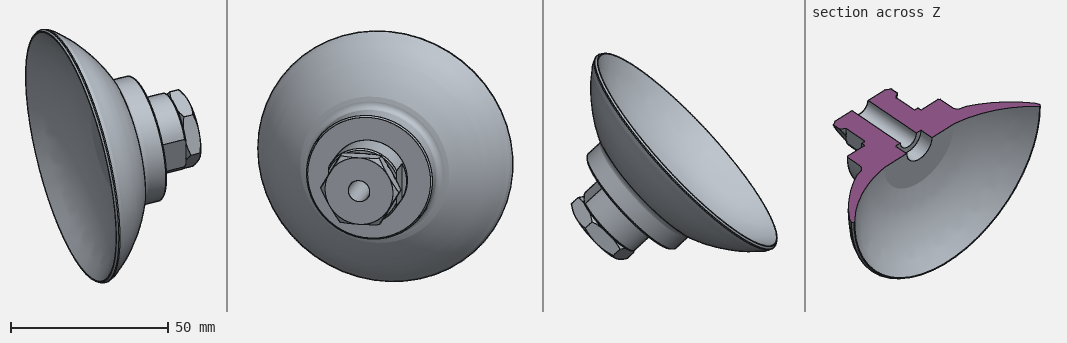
import cadquery as cq
import math


rim_radius = 41.5
total_length = 40.0

rim_lip_radius = 41.1
rim_edge_height = 0.7
rim_top = 1.1
rim_bevel_radius = 40.8
rim_bevel_start = 2.5
rim_bevel_end_radius = 39.35
rim_bevel_end = 4.2
lower_dome_middle_radius = 37.0
lower_dome_middle_height = 7.0
dome_joint_radius = 34.0
dome_joint_height = 9.7
upper_dome_middle_radius = 29.4
upper_dome_middle_height = 13.3
dome_top_radius = 24.2
dome_top_height = 16.3
shoulder_radius = 22.75
shoulder_height = 16.7

mouth_radius = 40.75
mouth_middle_radius = 29.5
mouth_middle_height = 8.3
floor_radius = 15.5
floor_height = 12.7

collar_radius = 41.0 / 2
collar_top = 25.0
collar_edge = 0.5
neck_height = 2.0
neck_radius = 2.4

fitting_radius = 25.0 / 2
fitting_edge = 0.5
flat_start = 26.4
across_flats = 22.1

hex_height = 5.1
hex_start = total_length - hex_height
hex_chamfer_radius = across_flats / 2
hex_chamfer_angle = 30.0

bore_diameter = 7.0
front_bore_diameter = 11.0
front_bore_end = 17.8


def cylinder(diameter, start, end):
    """Cylinder on the Y axis between two Y positions."""
    plane = cq.Workplane("XZ", origin=(0, end, 0))
    return plane.circle(diameter / 2).extrude(end - start)


def make_cup():
    """Hollow cup and its collar, revolved about Y."""
    profile = (
        cq.Workplane("XY")
        .moveTo(mouth_radius, 0)
        .lineTo(rim_lip_radius, 0)
        .lineTo(rim_radius, rim_edge_height)
        .lineTo(rim_radius, rim_top)
        .lineTo(rim_bevel_radius, rim_bevel_start)
        .lineTo(rim_bevel_end_radius, rim_bevel_end)
        .threePointArc(
            (lower_dome_middle_radius, lower_dome_middle_height),
            (dome_joint_radius, dome_joint_height),
        )
        .threePointArc(
            (upper_dome_middle_radius, upper_dome_middle_height),
            (dome_top_radius, dome_top_height),
        )
        .lineTo(shoulder_radius, shoulder_height)
        .radiusArc((collar_radius, shoulder_height + neck_height), neck_radius)
        .lineTo(collar_radius, collar_top - collar_edge)
        .lineTo(collar_radius - collar_edge, collar_top)
        .lineTo(0, collar_top)
        .lineTo(0, floor_height)
        .lineTo(floor_radius, floor_height)
        .threePointArc((mouth_middle_radius, mouth_middle_height), (mouth_radius, 0))
        .close()
    )
    return profile.revolve(360, (0, 0, 0), (0, 1, 0))


def make_fitting():
    """Round fitting with a bevelled rear edge and a flat on each X side."""
    body = cylinder(2 * fitting_radius, collar_top, hex_start).faces(">Y").chamfer(fitting_edge)
    slab_length = hex_start - flat_start
    cut_width = 2 * fitting_radius
    for side in (-1, 1):
        slab = cq.Workplane("XY").box(cut_width, slab_length, cut_width)
        center_x = side * (across_flats + cut_width) / 2
        body = body.cut(slab.translate((center_x, flat_start + slab_length / 2, 0)))
    return body


def make_hexagon():
    """Hexagon with corners on X, its corners bevelled at both ends."""
    corner_radius = across_flats / math.sqrt(3)
    bevel = (corner_radius - hex_chamfer_radius) * math.tan(math.radians(hex_chamfer_angle))
    prism = cq.Workplane("XZ", origin=(0, total_length, 0)).polygon(6, 2 * corner_radius).extrude(hex_height)
    envelope = (
        cq.Workplane("XY")
        .moveTo(0, hex_start)
        .lineTo(hex_chamfer_radius, hex_start)
        .lineTo(corner_radius, hex_start + bevel)
        .lineTo(corner_radius, total_length - bevel)
        .lineTo(hex_chamfer_radius, total_length)
        .lineTo(0, total_length)
        .close()
        .revolve(360, (0, 0, 0), (0, 1, 0))
    )
    return prism.intersect(envelope)


body = make_cup().union(make_fitting()).union(make_hexagon())
bore = cylinder(bore_diameter, 0, total_length)
front_bore = cylinder(front_bore_diameter, 0, front_bore_end)
result = body.cut(bore).cut(front_bore)